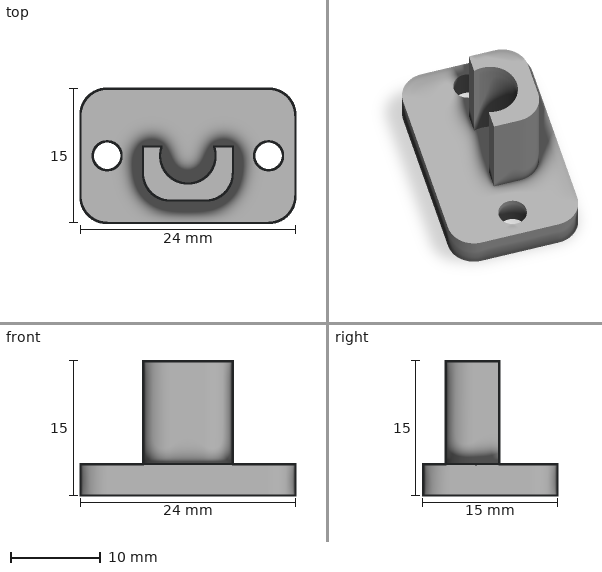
import cadquery as cq

plate_length = 24
plate_width = 15.0
plate_thickness = 3.5
corner_radius = 3.0

screw_hole_diameter = 3.2
screw_hole_offset = plate_length / 2 - corner_radius

total_height = 15.0
holder_height = total_height - plate_thickness
holder_width = 10.0
holder_depth = 6
holder_front_y = -5.0
holder_center_y = holder_front_y + holder_depth / 2
channel_diameter = 6.2


def make_plate():
    """Rounded plate with a screw hole near each end."""
    return (
        cq.Workplane("XY")
        .rect(plate_length, plate_width)
        .extrude(plate_thickness)
        .edges("|Z")
        .fillet(corner_radius)
        .faces(">Z")
        .workplane()
        .pushPoints([(-screw_hole_offset, 0), (screw_hole_offset, 0)])
        .hole(screw_hole_diameter)
    )


def make_holder():
    """Block with rounded front corners and a round channel on the plate's centre axis."""
    plate_top = cq.Workplane("XY").workplane(offset=plate_thickness)
    block = (
        plate_top.center(0, holder_center_y)
        .rect(holder_width, holder_depth)
        .extrude(holder_height)
        .edges("|Z and <Y")
        .fillet(corner_radius)
    )
    channel = (
        cq.Workplane("XY")
        .workplane(offset=plate_thickness)
        .circle(channel_diameter / 2)
        .extrude(holder_height)
    )
    return block.cut(channel)


result = make_plate().union(make_holder())